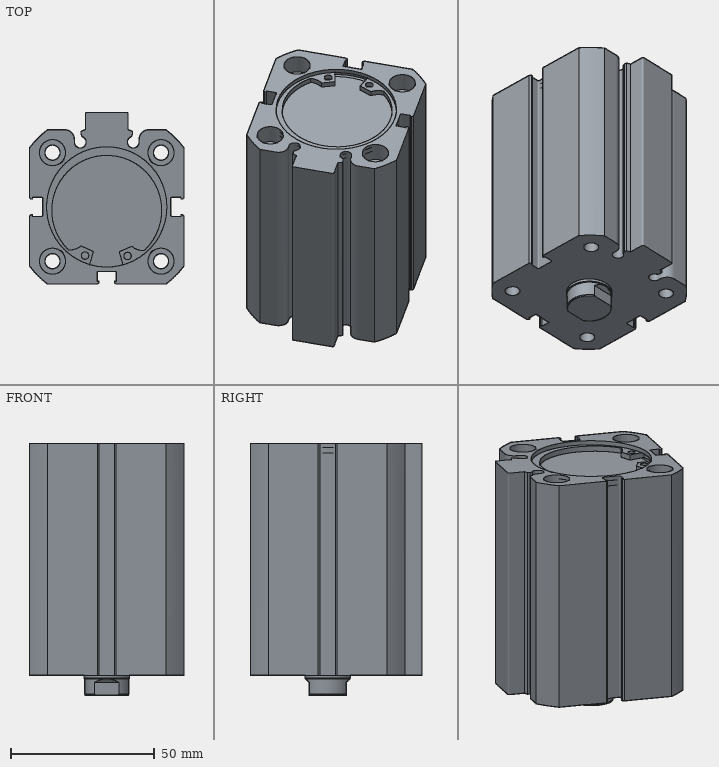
import cadquery as cq
import math


body_length = 81.0
half_width = 27.0
corner_radius = 34.0
rail_top = 33.0
rail_half_width = 7.5
rail_edge_radius = 0.6

sensor_x = 9.25
sensor_y = 22.6
sensor_radius = 2.0
flange_edge_radius = 3.5
nib_overhang = 1.5
nib_slope = 0.6
nib_flat = 1.0
nib_end_x = 8.65

slot_width = 6.6
slot_opening = 5.4
slot_lip = 1.1
slot_lip_chamfer_depth = 0.5
side_slot_depth = 4.65
side_slot_radius = 0.4
front_slot_depth = 4.4

hole_pitch = 37.9
hole_diameter = 5.2
counterbore_diameter = 9.1
counterbore_depth = 7.0

seat_radius = 21.0
ring_recess = 1.5
ring_thickness = 1.9
ring_bottom = body_length - ring_recess - ring_thickness
ring_outer_radius = 22.1
ring_inner_radius = 19.2
ring_inner_shift = 1.2
cover_thickness = 8.0
cover_bottom = ring_bottom - cover_thickness

ring_turn = -0.5
gap_half_angle = 16.1
lug_angle = 23.5
lug_inner_distance = 16.1
lug_half_angle = 9.5
lug_root_angle = 43.5
lug_neck_angle = 38.6
lug_neck_distance = 19.3
lug_hole_distance = 18.6
lug_hole_diameter = 2.6

rod_diameter = 16.0
tip_diameter = 15.5
tip_length = 7.0
collar_length = 1.25
tip_chamfer_width = 0.2
tip_chamfer_height = 0.4
flats_width = 13.0
flats_shoulder = 2.5


def polar(radius, angle_from_minus_y):
    """Point at a radius and at an angle measured from -Y toward +X."""
    angle = math.radians(angle_from_minus_y)
    return (radius * math.sin(angle), -radius * math.cos(angle))


def make_blank():
    """Housing without slots and holes: square with turned corners, sensor grooves and rail."""
    channel_half_width = sensor_x + sensor_radius
    channel_depth = half_width - sensor_y
    channel = (
        cq.Workplane("XY")
        .center(0, sensor_y + channel_depth / 2)
        .rect(2 * channel_half_width, channel_depth)
        .extrude(body_length)
    )
    margin = sensor_radius / 2
    channel_mouth = cq.selectors.BoxSelector(
        (-channel_half_width - margin, half_width - margin, 0),
        (channel_half_width + margin, half_width + margin, body_length),
    )
    blank = (
        cq.Workplane("XY")
        .rect(2 * half_width, 2 * half_width)
        .extrude(body_length)
        .cut(channel)
        .edges("|Z")
        .edges(channel_mouth)
        .fillet(flange_edge_radius)
    )
    blank = blank.intersect(cq.Workplane("XY").circle(corner_radius).extrude(body_length))
    blank = blank.union(make_rail())
    sensor_grooves = (
        cq.Workplane("XY")
        .pushPoints([(side * sensor_x, sensor_y) for side in (-1, 1)])
        .circle(sensor_radius)
        .extrude(body_length)
    )
    return blank.cut(sensor_grooves)


def make_rail():
    """Rail on the +Y side with a nib over each sensor groove."""
    nib_x = rail_half_width + nib_overhang
    nib_top = half_width - nib_slope
    nib_end_y = sensor_y + math.sqrt(sensor_radius**2 - (sensor_x - nib_end_x) ** 2)
    half = [
        (rail_half_width, rail_top),
        (rail_half_width, half_width),
        (nib_x, nib_top),
        (nib_x, nib_top - nib_flat),
        (nib_end_x, nib_end_y),
        (nib_end_x, sensor_y),
    ]
    mirrored = [(-x, y) for x, y in reversed(half)]
    return (
        cq.Workplane("XY")
        .polyline(half + mirrored)
        .close()
        .extrude(body_length)
        .faces(">Y")
        .edges("|Z")
        .fillet(rail_edge_radius)
    )


def make_slot_cutter(depth):
    """Lipped slot that opens on the -Y face."""
    half_slot = slot_width / 2
    half_opening = slot_opening / 2
    face = -half_width
    half = [
        (half_slot, face),
        (half_opening, face + slot_lip_chamfer_depth),
        (half_opening, face + slot_lip),
        (half_slot, face + slot_lip),
        (half_slot, face + depth),
    ]
    mirrored = [(-x, y) for x, y in reversed(half)]
    return cq.Workplane("XY").polyline(half + mirrored).close().extrude(body_length)


def make_housing():
    housing = make_blank()
    housing = housing.cut(make_slot_cutter(front_slot_depth))
    side_slot = make_slot_cutter(side_slot_depth)
    side_slot = side_slot.faces(">Y").edges("|Z").fillet(side_slot_radius)
    for angle in (-90, 90):
        housing = housing.cut(side_slot.rotate((0, 0, 0), (0, 0, 1), angle))
    housing = (
        housing.faces(">Z")
        .workplane(origin=(0, 0, body_length))
        .rect(hole_pitch, hole_pitch, forConstruction=True)
        .vertices()
        .cboreHole(hole_diameter, counterbore_diameter, counterbore_depth)
    )
    seat = cq.Workplane("XY").workplane(offset=cover_bottom).circle(seat_radius)
    housing = housing.cut(seat.extrude(body_length - cover_bottom))
    groove = cq.Workplane("XY").workplane(offset=ring_bottom).circle(ring_outer_radius)
    housing = housing.cut(groove.extrude(ring_thickness))
    return housing.cut(cq.Workplane("XY").circle(rod_diameter / 2).extrude(cover_bottom))


def make_cover():
    return cq.Workplane("XY").workplane(offset=cover_bottom).circle(seat_radius).extrude(cover_thickness)


def make_snap_ring():
    """Open ring, thinner toward its two lugs, each with a plier hole."""
    half_chord = lug_inner_distance * math.tan(math.radians(lug_half_angle))
    far_corner_radius = math.hypot(lug_inner_distance, half_chord)
    gap_corner_radius = lug_inner_distance / math.cos(math.radians(lug_angle - gap_half_angle))
    root_x, root_y = polar(ring_inner_radius, lug_root_angle)
    root_y -= ring_inner_shift
    neck_x, neck_y = polar(lug_neck_distance, lug_neck_angle)
    corner_x, corner_y = polar(far_corner_radius, lug_angle + lug_half_angle)
    gap_x, gap_y = polar(gap_corner_radius, gap_half_angle)
    end_x, end_y = polar(ring_outer_radius, gap_half_angle)
    level = cq.Workplane("XY").workplane(offset=ring_bottom)
    ring = (
        level.moveTo(end_x, end_y)
        .threePointArc((0, ring_outer_radius), (-end_x, end_y))
        .lineTo(-gap_x, gap_y)
        .lineTo(-corner_x, corner_y)
        .threePointArc((-neck_x, neck_y), (-root_x, root_y))
        .threePointArc((0, ring_inner_radius - ring_inner_shift), (root_x, root_y))
        .threePointArc((neck_x, neck_y), (corner_x, corner_y))
        .lineTo(gap_x, gap_y)
        .close()
        .extrude(ring_thickness)
    )
    plier_holes = (
        level.pushPoints([polar(lug_hole_distance, side * lug_angle) for side in (-1, 1)])
        .circle(lug_hole_diameter / 2)
        .extrude(ring_thickness)
    )
    return ring.cut(plier_holes).rotate((0, 0, 0), (0, 0, 1), ring_turn)


def make_flat_cutter():
    """Material outside one wrench flat, ending in a 45 degree shoulder."""
    flat_y = flats_width / 2
    reach = rod_diameter
    return (
        cq.Workplane("YZ")
        .moveTo(flat_y, -tip_length)
        .lineTo(flat_y, -flats_shoulder)
        .lineTo(flat_y + flats_shoulder, 0)
        .lineTo(reach, 0)
        .lineTo(reach, -tip_length)
        .close()
        .extrude(rod_diameter / 2, both=True)
    )


def make_rod():
    """Rod stepped down to a slightly thinner tip with two wrench flats."""
    rod_radius = rod_diameter / 2
    tip_radius = tip_diameter / 2
    step = rod_radius - tip_radius
    rod = (
        cq.Workplane("XZ")
        .moveTo(0, -tip_length)
        .lineTo(tip_radius - tip_chamfer_width, -tip_length)
        .lineTo(tip_radius, -tip_length + tip_chamfer_height)
        .lineTo(tip_radius, -collar_length)
        .lineTo(rod_radius, -collar_length + step)
        .lineTo(rod_radius, cover_bottom)
        .lineTo(0, cover_bottom)
        .close()
        .revolve(360, (0, 0, 0), (0, 1, 0))
    )
    flat = make_flat_cutter()
    return rod.cut(flat).cut(flat.mirror("XZ"))


housing = make_housing()
cover = make_cover()
snap_ring = make_snap_ring()
rod = make_rod()

result = cq.Compound.makeCompound([housing.val(), cover.val(), snap_ring.val(), rod.val()])